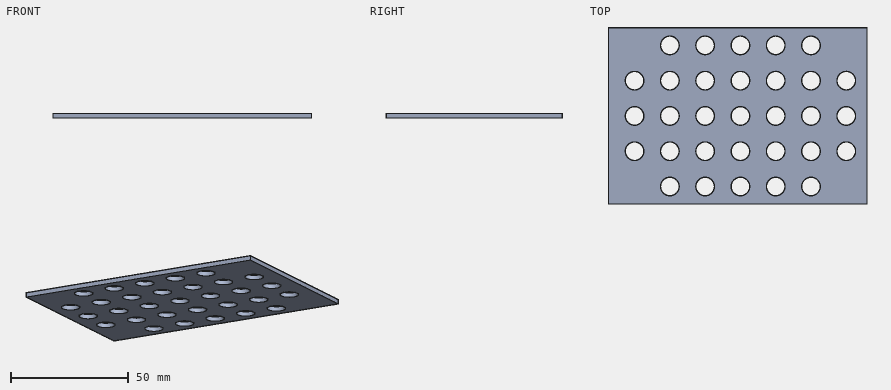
import cadquery as cq

plate_length = 110.0
plate_width = 75.0
plate_thickness = 2.0

hole_diameter = 7.8
hole_pitch = 15.0
columns = 7
rows = 5
grid_offset_x = 1.135
grid_offset_y = -0.05


def hole_centres():
    """Points of the shifted grid, leaving out the four corners."""
    last_column = columns - 1
    last_row = rows - 1
    centres = []
    for column in range(columns):
        for row in range(rows):
            is_corner = column in (0, last_column) and row in (0, last_row)
            if is_corner:
                continue
            x = grid_offset_x + (column - last_column / 2) * hole_pitch
            y = grid_offset_y + (row - last_row / 2) * hole_pitch
            centres.append((x, y))
    return centres


def make_plate():
    """Flat rectangular plate centred on the origin."""
    return cq.Workplane("XY").box(plate_length, plate_width, plate_thickness)


def make_perforated_plate():
    """Plate with every grid hole drilled through its thickness."""
    return make_plate().faces(">Z").workplane().pushPoints(hole_centres()).hole(hole_diameter)


result = make_perforated_plate()